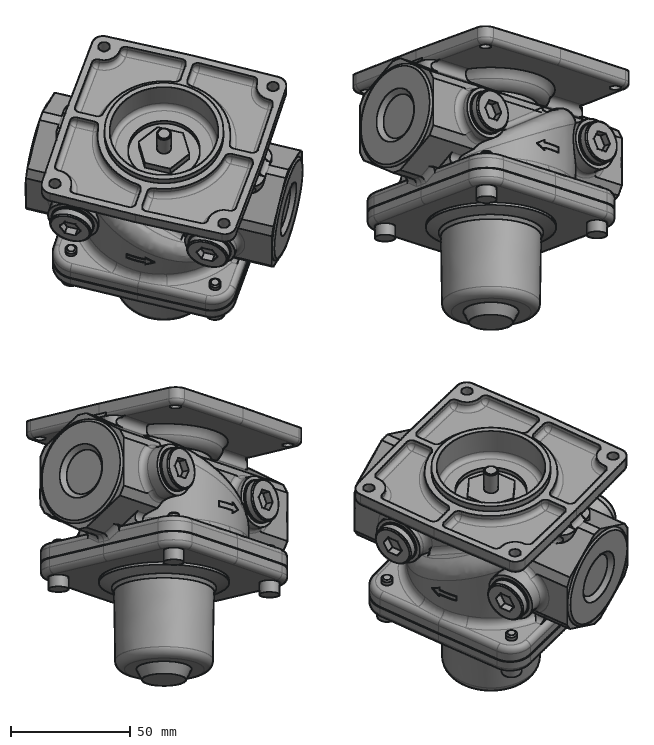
import cadquery as cq
import math


PORT_LENGTH = 107.5
PORT_FLATS = 45.6
PORT_CORNER_FLATS = 50.0
PORT_SLOPE = 30.0
END_FACE_DIA = 42.6
END_FACE_BASE_DIA = 44.9
OVERALL_LENGTH = 109.0
PORT_HOLE_DIA = 19.2
PORT_HOLE_MOUTH_DIA = 23.3
PORT_HOLE_DEPTH = 2.0

TOP_Z = 34.9
PLATE_SIZE = 86.0
PLATE_SIDE_BOW = 0.7
PLATE_CORNER_RADIUS = 4.8
PLATE_TOP_Z = 32.0
PLATE_BOTTOM_Z = PORT_CORNER_FLATS / 2
PLATE_EDGE_RADIUS = 2.3
WEB_RADIUS = 2.7
SADDLE_LENGTH = 45.4
SADDLE_WIDTH = 21.7
SADDLE_CORNER_RADIUS = 5.7
SADDLE_COVE_WIDTH = 8.0
PLATE_HOLE_DIA = 4.8
PLATE_HOLE_OFFSET = 36.9

RIM_WIDTH = 3.0
RIB_WIDTH = 2.8
HUB_RADIUS = 27.9
CORNER_PAD_RADIUS = 7.0
POCKET_DEPTH = 4.0
POCKET_CORNER_RADIUS = 2.4
POCKET_FLOOR_RADIUS = 2.3

COLLAR_DIA = 50.0
BORE_DIA = 45.6
BORE_FLOOR_Z = 21.3
BORE_FLOOR_RADIUS = 2.3
CUP_ROOT_RADIUS = 26.9
CUP_WALL_RADIUS = 24.6
CUP_WALL_Z = 21.1
CUP_ROOT_COVE_RADIUS = 6.8
CUP_NECK_RADIUS = 20.0
CUP_NECK_Z = 17.1
CUP_EDGE_RADIUS = 6.3
CUP_BOTTOM_Z = 14.8
RECESS_DIA = 30.2
RECESS_DEPTH = 1.9
HEX_FLATS = 19.3
HEX_TOP_Z = 22.8
PIN_DIA = 6.0
PIN_TOP_Z = 33.1
PIN_CHAMFER = 0.5

CHAMBER_RADIUS = 35.6
CHAMBER_SLOPE = 30.0
CHAMBER_AXIS_Z = 5.1
CHAMBER_EDGE_RADIUS = 6.7

ARROW_LENGTH = 12.3
ARROW_HEAD_LENGTH = 4.0
ARROW_HEAD_WIDTH = 4.7
ARROW_TAIL_WIDTH = 2.4
ARROW_Z = -10.0
ARROW_HEIGHT = 0.3

INLET_BOSS_X = -30.8
OUTLET_BOSS_X = 28.2
OUTLET_BOSS_SETBACK = 3.2
BOSSES = ((INLET_BOSS_X, 0.0), (OUTLET_BOSS_X, OUTLET_BOSS_SETBACK))
BOSS_DIA = 21.9
BOSS_FACE_Y = 31.0
BOSS_ROOT_RADIUS = 2.7
WASHER_DIA = 18.5
WASHER_FACE_Y = 31.8
PLUG_DIA = 18.0
PLUG_FACE_Y = 35.3
PLUG_CHAMFER = 0.6
SOCKET_FLATS = 8.0
SOCKET_DEPTH = 3.4

FLANGE_SIZE = 79.8
FLANGE_SIDE_BOW = 0.2
FLANGE_CORNER_RADIUS = 10.3
FLANGE_TOP_Z = -21.9
FLANGE_JOINT_Z = -29.1
FLANGE_BOTTOM_Z = -35.6
GASKET_THICKNESS = 0.2
GASKET_INSET = 0.2
FLANGE_EDGE_RADIUS = 2.6
FLANGE_SADDLE_RADIUS = 2.4
FLANGE_SADDLE_WIDTH = 17.1
CHAMBER_ROOT_RADIUS = 3.5
CHAMBER_COVE_RADIUS = 2.6
CHAMBER_COVE_LENGTH = 28.0
CHAMBER_COVE_X = 2.7

SCREW_OFFSET = 31.5
SCREW_HEAD_DIA = 8.5
SCREW_HEAD_Z = -40.7
SCREW_DIA = 4.8
SCREW_TIP_CHAMFER = 0.7
SCREW_TIP_Z = -19.4

BONNET_SHOULDER_RADIUS = 27.4
BONNET_SHOULDER_Z = -36.7
BONNET_DOME_CURVE = 18.2
BONNET_DOME_END_RADIUS = 22.0
BONNET_DOME_END_Z = -39.0
CAP_TOP_RADIUS = 21.1
CAP_BOTTOM_RADIUS = 20.6
CAP_TOP_Z = -40.7
CAP_BOTTOM_Z = -74.4
CAP_EDGE_RADIUS = 3.9
KNOB_BASE_DIA = 23.3
KNOB_END_DIA = 18.5
OVERALL_HEIGHT = 114.0
BOTTOM_Z = TOP_Z - OVERALL_HEIGHT

SEARCH_MARGIN = 0.9


def disc(dia, z_low, z_high, x=0.0, y=0.0):
    """Vertical cylinder between two heights."""
    return cq.Workplane("XY", origin=(x, y, z_low)).circle(dia / 2).extrude(z_high - z_low)


def hexagon(workplane, flats):
    return workplane.polygon(6, flats / math.cos(math.pi / 6))


def square_corners(offset):
    return [(sx * offset, sy * offset) for sx in (-1, 1) for sy in (-1, 1)]


def bowed_square(size, bow, corner_radius, z_low, z_high):
    """Square slab with rounded corners; each side rises by the bow to a blunt point at its middle."""
    mid = size / 2
    corner = mid - bow
    outline = [
        (-corner, -corner), (0, -mid), (corner, -corner), (mid, 0),
        (corner, corner), (0, mid), (-corner, corner), (-mid, 0),
    ]
    slab = cq.Workplane("XY", origin=(0, 0, z_low)).polyline(outline).close().extrude(z_high - z_low)
    for x, y in square_corners(corner):
        corner_edge = cq.selectors.NearestToPointSelector((x, y, (z_low + z_high) / 2))
        slab = slab.edges(corner_edge).fillet(corner_radius)
    return slab


def port_block():
    """Hexagonal bar with flattened corners, two opposite flats facing along Y."""
    plane = cq.Workplane("YZ")
    bar = hexagon(plane, PORT_FLATS).extrude(PORT_LENGTH / 2, both=True)
    bar = bar.rotate((0, 0, 0), (1, 0, 0), PORT_SLOPE)
    corners = hexagon(plane, PORT_CORNER_FLATS).extrude(PORT_LENGTH / 2, both=True)
    return bar.intersect(corners)


def port_ends():
    """Raised round faces at both ends of the port block."""
    height = (OVERALL_LENGTH - PORT_LENGTH) / 2
    end = (
        cq.Workplane("YZ", origin=(PORT_LENGTH / 2, 0, 0))
        .circle(END_FACE_BASE_DIA / 2)
        .workplane(offset=height)
        .circle(END_FACE_DIA / 2)
        .loft(ruled=True)
    )
    return end.union(end.mirror("YZ"))


def port_holes():
    """Shallow tapered hole in each end face."""
    hole = (
        cq.Workplane("YZ", origin=(OVERALL_LENGTH / 2, 0, 0))
        .circle(PORT_HOLE_MOUTH_DIA / 2)
        .workplane(offset=-PORT_HOLE_DEPTH)
        .circle(PORT_HOLE_DIA / 2)
        .loft(ruled=True)
    )
    return hole.union(hole.mirror("YZ"))


def chamber():
    """Upright cylinder with an inclined top that falls towards +X, its rim well rounded."""
    rise = CHAMBER_RADIUS * math.tan(math.radians(CHAMBER_SLOPE))
    reach = 2 * CHAMBER_RADIUS
    blank = disc(2 * CHAMBER_RADIUS, FLANGE_TOP_Z, CHAMBER_AXIS_Z + 2 * rise)
    above = (
        cq.Workplane("XY")
        .box(2 * reach, 2 * reach, reach, centered=(True, True, False))
        .rotate((0, 0, 0), (0, 1, 0), CHAMBER_SLOPE)
        .translate((0, 0, CHAMBER_AXIS_Z))
    )
    return blank.cut(above).faces(">Z").edges().fillet(CHAMBER_EDGE_RADIUS)


def chamber_on_flange():
    """Chamber standing on the body flange, with a coved root and a rounded flange edge."""
    flange = bowed_square(FLANGE_SIZE, FLANGE_SIDE_BOW, FLANGE_CORNER_RADIUS, FLANGE_JOINT_Z, FLANGE_TOP_Z)
    flange = flange.faces(">Z").edges().fillet(FLANGE_EDGE_RADIUS)
    root_circle = cq.selectors.NearestToPointSelector((0, 0, FLANGE_TOP_Z))
    return flange.union(chamber()).edges(root_circle).fillet(CHAMBER_ROOT_RADIUS)


def bonnet_flange():
    """Flange of the bonnet with the slightly inset gasket above it."""
    gasket_z = FLANGE_JOINT_Z - GASKET_THICKNESS
    flange = bowed_square(FLANGE_SIZE, FLANGE_SIDE_BOW, FLANGE_CORNER_RADIUS, FLANGE_BOTTOM_Z, gasket_z)
    gasket = bowed_square(
        FLANGE_SIZE - 2 * GASKET_INSET, FLANGE_SIDE_BOW, FLANGE_CORNER_RADIUS - GASKET_INSET,
        gasket_z, FLANGE_JOINT_Z,
    )
    return flange.faces("<Z").edges().fillet(FLANGE_EDGE_RADIUS).union(gasket)


def cap():
    """Bonnet dome, tapered cap and end knob as one turned shape."""
    return (
        cq.Workplane("XZ")
        .moveTo(0, FLANGE_JOINT_Z)
        .lineTo(BONNET_SHOULDER_RADIUS, FLANGE_JOINT_Z)
        .lineTo(BONNET_SHOULDER_RADIUS, BONNET_SHOULDER_Z)
        .radiusArc((BONNET_DOME_END_RADIUS, BONNET_DOME_END_Z), BONNET_DOME_CURVE)
        .lineTo(CAP_TOP_RADIUS, CAP_TOP_Z)
        .lineTo(CAP_BOTTOM_RADIUS, CAP_BOTTOM_Z + CAP_EDGE_RADIUS)
        .radiusArc((CAP_BOTTOM_RADIUS - CAP_EDGE_RADIUS, CAP_BOTTOM_Z), CAP_EDGE_RADIUS)
        .lineTo(KNOB_BASE_DIA / 2, CAP_BOTTOM_Z)
        .lineTo(KNOB_END_DIA / 2, BOTTOM_Z)
        .lineTo(0, BOTTOM_Z)
        .close()
        .revolve(360, (0, 0, 0), (0, 1, 0))
    )


def screws():
    """Flange screws with heads below and chamfered tips above."""
    whole = cq.Workplane("XY")
    for x, y in square_corners(SCREW_OFFSET):
        shank = disc(SCREW_DIA, FLANGE_JOINT_Z, SCREW_TIP_Z, x, y).faces(">Z").chamfer(SCREW_TIP_CHAMFER)
        head = disc(SCREW_HEAD_DIA, SCREW_HEAD_Z, FLANGE_JOINT_Z, x, y)
        whole = whole.add(shank.union(head))
    return whole.combine()


def side_cylinder(x, dia, face_y):
    """Cylinder through the body along Y, reaching both sides equally."""
    return cq.Workplane("XZ", origin=(x, 0, 0)).circle(dia / 2).extrude(face_y, both=True)


def port_with_bosses():
    """Port block with two bosses on each side, coved where they meet the block."""
    block = port_block()
    for x, setback in BOSSES:
        block = block.union(side_cylinder(x, BOSS_DIA, BOSS_FACE_Y - setback))
    reach = BOSS_DIA / 2 + SEARCH_MARGIN
    for x, _ in BOSSES:
        for side in (-1, 1):
            low = (x - reach, side * (PORT_FLATS / 2 - SEARCH_MARGIN), -reach)
            high = (x + reach, side * (PORT_FLATS / 2 + SEARCH_MARGIN), reach)
            root_edges = cq.selectors.BoxSelector(low, high, boundingbox=True)
            block = block.edges(root_edges).fillet(BOSS_ROOT_RADIUS)
    return block


def plugs():
    """Socket plugs with a thin washer in each side boss."""
    whole = cq.Workplane("XY")
    for x, setback in BOSSES:
        face_y = PLUG_FACE_Y - setback
        plug = side_cylinder(x, PLUG_DIA, face_y).faces("<Y or >Y").chamfer(PLUG_CHAMFER)
        socket = hexagon(cq.Workplane("XZ", origin=(x, -face_y, 0)), SOCKET_FLATS).extrude(-SOCKET_DEPTH)
        plug = plug.cut(socket).cut(socket.mirror("XZ"))
        whole = whole.add(plug.union(side_cylinder(x, WASHER_DIA, WASHER_FACE_Y - setback)))
    return whole.combine()


def arrows():
    """Raised flow arrow on both sides of the chamber, pointing towards +X."""
    neck = ARROW_LENGTH / 2 - ARROW_HEAD_LENGTH
    half_tail = ARROW_TAIL_WIDTH / 2
    half_head = ARROW_HEAD_WIDTH / 2
    outline = [
        (-ARROW_LENGTH / 2, half_tail), (neck, half_tail), (neck, half_head), (ARROW_LENGTH / 2, 0),
        (neck, -half_head), (neck, -half_tail), (-ARROW_LENGTH / 2, -half_tail),
    ]
    reach = 2 * CHAMBER_RADIUS
    bar = cq.Workplane("XZ", origin=(0, 0, ARROW_Z)).polyline(outline).close().extrude(reach, both=True)
    return bar.intersect(disc(2 * (CHAMBER_RADIUS + ARROW_HEIGHT), FLANGE_TOP_Z, 0))


def plate():
    return (
        bowed_square(PLATE_SIZE, PLATE_SIDE_BOW, PLATE_CORNER_RADIUS, PLATE_BOTTOM_Z, PLATE_TOP_Z)
        .faces("<Z").edges().fillet(PLATE_EDGE_RADIUS)
    )


def plate_holes():
    whole = cq.Workplane("XY")
    for x, y in square_corners(PLATE_HOLE_OFFSET):
        whole = whole.add(disc(PLATE_HOLE_DIA, PLATE_BOTTOM_Z, PLATE_TOP_Z, x, y))
    return whole.combine()


def pockets():
    """Four plate pockets, bounded by the rim, the cross ribs, the hub and the corner pads."""
    floor = PLATE_TOP_Z - POCKET_DEPTH
    pocket = bowed_square(
        PLATE_SIZE - 2 * RIM_WIDTH, PLATE_SIDE_BOW, POCKET_CORNER_RADIUS, floor, PLATE_TOP_Z
    )
    pocket = pocket.cut(disc(2 * HUB_RADIUS, floor, PLATE_TOP_Z))
    for x, y in square_corners(PLATE_HOLE_OFFSET):
        pocket = pocket.cut(disc(2 * CORNER_PAD_RADIUS, floor, PLATE_TOP_Z, x, y))
    for length, width in ((PLATE_SIZE, RIB_WIDTH), (RIB_WIDTH, PLATE_SIZE)):
        rib = cq.Workplane("XY", origin=(0, 0, floor)).rect(length, width).extrude(POCKET_DEPTH)
        pocket = pocket.cut(rib)
    pocket = pocket.edges("|Z").fillet(POCKET_CORNER_RADIUS)
    return pocket.faces("<Z").edges().fillet(POCKET_FLOOR_RADIUS)


def port_web(flat_z, half_length):
    """Coved filling of the wedges between the sloping port faces and a flat plate face."""
    side = math.copysign(1, flat_z)
    slope = math.radians(PORT_SLOPE)
    apex_z = PORT_FLATS / 2 / math.cos(slope)
    start_y = (apex_z - abs(flat_z)) / math.tan(slope)
    tangent = WEB_RADIUS / math.tan(slope / 2)
    foot_y = start_y + tangent * math.cos(slope)
    foot_z = flat_z - side * tangent * math.sin(slope)
    web = (
        cq.Workplane("YZ")
        .moveTo(0, flat_z)
        .lineTo(start_y + tangent, flat_z)
        .radiusArc((foot_y, foot_z), -side * WEB_RADIUS)
        .lineTo(0, foot_z)
        .close()
        .extrude(half_length, both=True)
    )
    return web.union(web.mirror("XZ"))


def plate_saddle():
    """Web under the plate with rounded tongues that stick out past its edge, coved up to the edge."""
    tongue = (
        cq.Workplane("XY")
        .rect(2 * SADDLE_LENGTH, SADDLE_WIDTH)
        .extrude(PLATE_TOP_Z)
        .edges("|Z")
        .fillet(SADDLE_CORNER_RADIUS)
    )
    tongue = tongue.intersect(port_web(PLATE_BOTTOM_Z, SADDLE_LENGTH))
    edge_x = PLATE_SIZE / 2
    cove_radius = SADDLE_LENGTH - edge_x
    cove = (
        cq.Workplane("XZ")
        .moveTo(edge_x - PLATE_EDGE_RADIUS, PLATE_BOTTOM_Z)
        .lineTo(SADDLE_LENGTH, PLATE_BOTTOM_Z)
        .radiusArc((edge_x, PLATE_BOTTOM_Z + cove_radius), cove_radius)
        .lineTo(edge_x - PLATE_EDGE_RADIUS, PLATE_BOTTOM_Z + cove_radius)
        .close()
        .extrude(SADDLE_COVE_WIDTH / 2, both=True)
    )
    web = port_web(PLATE_BOTTOM_Z, edge_x - PLATE_EDGE_RADIUS)
    return web.union(tongue).union(cove).union(cove.mirror("YZ"))


def flange_saddle():
    """Coves between the underside of the port block and the two flange sides it crosses."""
    slab = bowed_square(FLANGE_SIZE, FLANGE_SIDE_BOW, FLANGE_CORNER_RADIUS, FLANGE_JOINT_Z, FLANGE_TOP_Z)
    joined = port_block().union(slab)
    half = FLANGE_SIZE / 2
    for side in (-1, 1):
        low = (side * half - SEARCH_MARGIN, -FLANGE_SADDLE_WIDTH / 2, FLANGE_JOINT_Z)
        high = (side * half + SEARCH_MARGIN, FLANGE_SADDLE_WIDTH / 2, FLANGE_TOP_Z + SEARCH_MARGIN)
        joined = joined.edges(cq.selectors.BoxSelector(low, high)).fillet(FLANGE_SADDLE_RADIUS)
    clip = cq.Workplane("XY", origin=(0, 0, FLANGE_JOINT_Z)).rect(OVERALL_LENGTH, FLANGE_SADDLE_WIDTH)
    return joined.intersect(clip.extrude(-FLANGE_JOINT_Z))


def chamber_coves():
    """Coves between the inclined chamber top and the flat sides of the port block."""
    slope = math.radians(CHAMBER_SLOPE)
    downhill = (math.cos(slope), 0, -math.sin(slope))
    middle_z = CHAMBER_AXIS_Z - CHAMBER_COVE_X * math.tan(slope)
    whole = cq.Workplane("XY")
    for side in (-1, 1):
        middle = (CHAMBER_COVE_X, side * PORT_FLATS / 2, middle_z)
        corner = cq.Plane(middle, (0, side, 0), downhill)
        cove = (
            cq.Workplane(corner)
            .lineTo(CHAMBER_COVE_RADIUS, 0)
            .radiusArc((0, side * CHAMBER_COVE_RADIUS), side * CHAMBER_COVE_RADIUS)
            .close()
            .extrude(CHAMBER_COVE_LENGTH / 2, both=True)
        )
        whole = whole.add(cove)
    return whole.combine()


def cup():
    """Turned cup that carries the bore below the plate, coved into the plate and rounded below."""
    return (
        cq.Workplane("XZ")
        .moveTo(0, PLATE_TOP_Z)
        .lineTo(CUP_ROOT_RADIUS, PLATE_TOP_Z)
        .lineTo(CUP_ROOT_RADIUS, PLATE_BOTTOM_Z)
        .radiusArc((CUP_WALL_RADIUS, CUP_WALL_Z), -CUP_ROOT_COVE_RADIUS)
        .radiusArc((CUP_NECK_RADIUS, CUP_NECK_Z), CUP_EDGE_RADIUS)
        .lineTo(CUP_NECK_RADIUS, CUP_BOTTOM_Z)
        .lineTo(0, CUP_BOTTOM_Z)
        .close()
        .revolve(360, (0, 0, 0), (0, 1, 0))
    )


def bore():
    """Bore with a rounded floor and a shallow round recess under it."""
    hollow = disc(BORE_DIA, BORE_FLOOR_Z, TOP_Z).faces("<Z").edges().fillet(BORE_FLOOR_RADIUS)
    return hollow.union(disc(RECESS_DIA, BORE_FLOOR_Z - RECESS_DEPTH, TOP_Z))


def bore_nut_and_pin():
    floor = BORE_FLOOR_Z - RECESS_DEPTH
    nut = hexagon(cq.Workplane("XY", origin=(0, 0, floor)), HEX_FLATS).extrude(HEX_TOP_Z - floor)
    pin = disc(PIN_DIA, floor, PIN_TOP_Z).faces(">Z").chamfer(PIN_CHAMFER)
    return nut.union(pin)


casting = port_with_bosses().union(port_ends())
casting = casting.union(chamber_on_flange()).union(chamber_coves()).union(arrows())
casting = casting.union(port_web(FLANGE_TOP_Z, FLANGE_SIZE / 2 - FLANGE_EDGE_RADIUS)).union(flange_saddle())
casting = casting.union(plate()).union(plate_saddle())
casting = casting.union(cup()).union(disc(COLLAR_DIA, PLATE_TOP_Z, TOP_Z))
casting = casting.cut(bore()).cut(pockets()).cut(plate_holes()).cut(port_holes())

result = casting.union(bore_nut_and_pin()).union(plugs())
result = result.union(bonnet_flange()).union(cap()).union(screws())